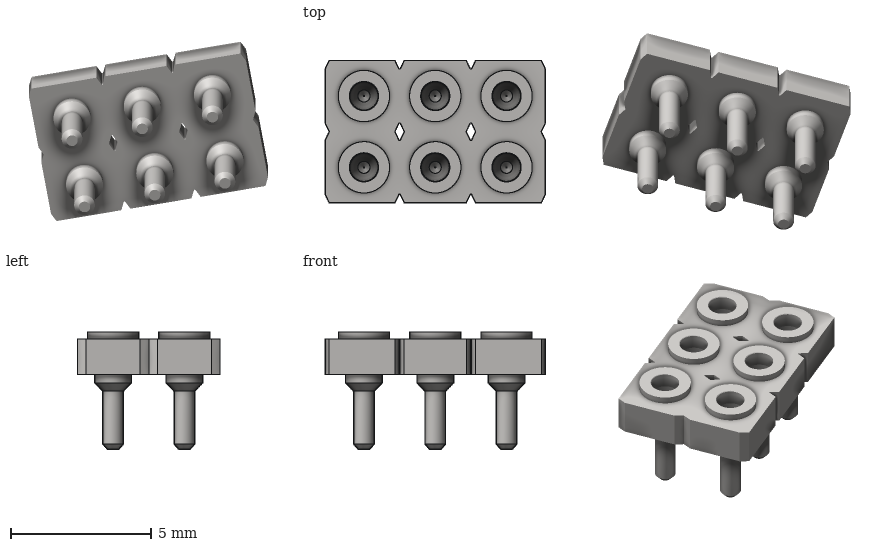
import cadquery as cq
import math

pitch = 2.54
columns = 3
rows = 2

housing_length = 7.85
housing_width = rows * pitch
housing_height = 1.27
cell_cut_x = 0.145
cell_cut_y = 0.305
notch_floor_width = 0.04

overall_height = 4.19
flange_diameter = 1.83
flange_height = 0.254
body_diameter = 1.32
tail_diameter = 0.74
tip_diameter = 0.40
body_projection = 0.292
shoulder_height = 0.298
tip_height = 0.19

socket_diameter = 1.0
rim_diameter = 1.04
socket_depth = 0.54
throat_diameter = 0.43
funnel_height = 1.0
drill_point_angle = 118.0
drill_flat_diameter = 0.04

flange_top = housing_height + flange_height
rim_chamfer = (rim_diameter - socket_diameter) / 2
pin_bottom = flange_top - overall_height
shoulder_top = -body_projection
shoulder_bottom = shoulder_top - shoulder_height
tip_top = pin_bottom + tip_height
funnel_top = flange_top - socket_depth
funnel_bottom = funnel_top - funnel_height
drill_half_angle = math.radians(drill_point_angle / 2)
drill_point_depth = (throat_diameter - drill_flat_diameter) / 2 / math.tan(drill_half_angle)
socket_bottom = funnel_bottom - drill_point_depth

pin_locations = [
    ((column - (columns - 1) / 2) * pitch, (row - (rows - 1) / 2) * pitch)
    for column in range(columns)
    for row in range(rows)
]


def prisms(outline, points):
    """Upright prisms as tall as the housing, one copy of the outline centred on each point."""
    prism = cq.Workplane("XY").polyline(outline).close().extrude(housing_height).val()
    copies = [prism.translate(cq.Vector(x, y, 0)) for x, y in points]
    return cq.Workplane("XY").newObject(copies).combine()


def make_housing():
    """Block with notches and windows between its cells, cut corners and a hole for each pin."""
    block = cq.Workplane("XY").box(
        housing_length, housing_width, housing_height, centered=(True, True, False)
    )
    y_lines = [(row - rows / 2) * pitch for row in range(rows + 1)]
    inner_x_lines = [(column - columns / 2) * pitch for column in range(1, columns)]
    end_x_lines = [-housing_length / 2, housing_length / 2]

    diamond = [(cell_cut_x, 0), (0, cell_cut_y), (-cell_cut_x, 0), (0, -cell_cut_y)]
    end_cuts = prisms(diamond, [(x, y) for x in end_x_lines for y in y_lines])

    half_floor = notch_floor_width / 2
    right_half = [(half_floor, -cell_cut_y), (half_floor + cell_cut_x, 0), (half_floor, cell_cut_y)]
    left_half = [(-x, -y) for x, y in right_half]
    column_cuts = prisms(right_half + left_half, [(x, y) for x in inner_x_lines for y in y_lines])

    pin_holes = (
        cq.Workplane("XY").pushPoints(pin_locations).circle(body_diameter / 2).extrude(housing_height)
    )
    return block.cut(end_cuts).cut(column_cuts).cut(pin_holes)


def make_pin(x, y):
    """Turned pin: flange, body, shoulder cone and tail, with a stepped socket in its top."""
    profile = [
        (0, pin_bottom),
        (tip_diameter / 2, pin_bottom),
        (tail_diameter / 2, tip_top),
        (tail_diameter / 2, shoulder_bottom),
        (body_diameter / 2, shoulder_top),
        (body_diameter / 2, housing_height),
        (flange_diameter / 2, housing_height),
        (flange_diameter / 2, flange_top),
        (rim_diameter / 2, flange_top),
        (socket_diameter / 2, flange_top - rim_chamfer),
        (socket_diameter / 2, funnel_top),
        (throat_diameter / 2, funnel_bottom),
        (drill_flat_diameter / 2, socket_bottom),
        (0, socket_bottom),
    ]
    pin = cq.Workplane("XZ").polyline(profile).close().revolve(360, (0, 0, 0), (0, 1, 0))
    return pin.translate((x, y, 0))


housing = make_housing()
pins = [make_pin(x, y) for x, y in pin_locations]

result = cq.Compound.makeCompound([housing.val(), *[pin.val() for pin in pins]])